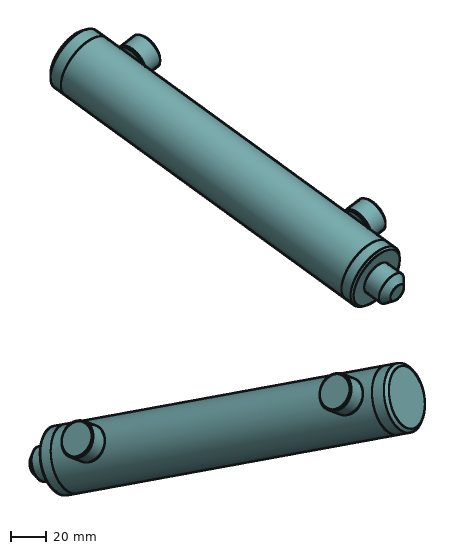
import cadquery as cq

total_length = 255.0
barrel_diameter = 40.0
cap_length = 10.2
cap_chamfer = 2.0
head_start = 230.5
head_end = 239.0
head_chamfer = 1.3

rod_diameter = 20.5
rod_chamfer = 4.5

port_diameter = 22.0
port_height = 13.0
port_chamfer = 0.8
port_positions = (26.8, 203.7)

barrel_radius = barrel_diameter / 2


def cylinder_along_x(start, end, diameter):
    """Solid cylinder on the X axis between two X positions."""
    return cq.Workplane("YZ").workplane(offset=start).circle(diameter / 2).extrude(end - start)


def make_cap():
    """Closed end cap with a chamfered outer rim."""
    return cylinder_along_x(0, cap_length, barrel_diameter).faces("<X").chamfer(cap_chamfer)


def make_barrel():
    """Plain barrel between the end cap and the head."""
    return cylinder_along_x(cap_length, head_start, barrel_diameter)


def make_head():
    """Head with a chamfered outer rim and a through bore for the rod."""
    head = cylinder_along_x(head_start, head_end, barrel_diameter).faces(">X").chamfer(head_chamfer)
    return head.cut(cylinder_along_x(head_start, head_end, rod_diameter))


def make_rod():
    """Rod that passes through the head and rests against the barrel end."""
    return cylinder_along_x(head_start, total_length, rod_diameter).faces(">X").chamfer(rod_chamfer)


def make_port(x):
    """Round port boss on the +Y side, tangent to the barrel and chamfered at both ends."""
    port = cq.Workplane("XZ", origin=(x, barrel_radius, 0)).circle(port_diameter / 2).extrude(-port_height)
    return port.faces("<Y or >Y").chamfer(port_chamfer)


cap = make_cap()
barrel = make_barrel()
head = make_head()
rod = make_rod()
ports = [make_port(x).val() for x in port_positions]

result = cq.Compound.makeCompound([cap.val(), barrel.val(), head.val(), rod.val(), *ports])